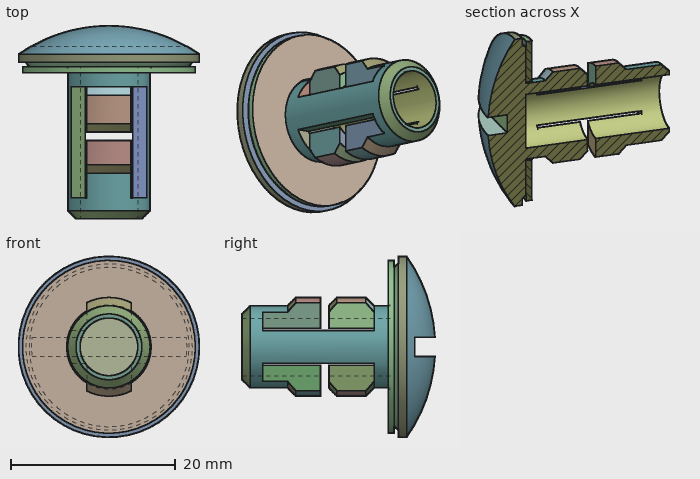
import cadquery as cq
import math


head_radius = 11.0
rim_thickness = 1.0
dome_height = 3.5
shoulder_height = 0.5
shoulder_root_radius = 10.1
shoulder_tip_radius = 9.7
shoulder_bulge = 0.03

driver_slot_width = 2.3
driver_slot_depth = 2.5

washer_radius = 10.5
washer_thickness = 0.75
washer_hole_radius = 5.13

tube_radius = 5.0
bore_radius = 3.5
tube_length = 17.75
end_chamfer = 1.0

window_offset = 1.7
window_length = 13.5
beam_half_height = 2.0

tab_width = 5.4
tab_radius = 6.0
tab_chamfer = 1.0
head_tab_length = 5.5
tab_gap = 1.0
end_tab_length = 4.0

dome_base_y = rim_thickness
dome_top_y = dome_base_y + dome_height
washer_top_y = -shoulder_height
washer_bottom_y = washer_top_y - washer_thickness
tube_end_y = washer_bottom_y - tube_length
window_top_y = washer_bottom_y - window_offset
window_bottom_y = window_top_y - window_length
head_tab_end_y = window_top_y - head_tab_length
end_tab_start_y = head_tab_end_y - tab_gap
end_tab_shoulder_y = end_tab_start_y - end_tab_length


def revolve_about_y(profile):
    """Turn a closed (radius, Y) profile around the Y axis."""
    return profile.close().revolve(360, (0, 0, 0), (0, 1, 0))


def box_between(width, y_low, y_high, height):
    """Box centred on X and Z, reaching from y_low to y_high."""
    return cq.Workplane("XY").box(width, y_high - y_low, height).translate((0, (y_low + y_high) / 2, 0))


def make_head():
    dome_sphere_radius = (head_radius**2 + dome_height**2) / (2 * dome_height)
    dome_mid_radius = head_radius / 2
    dome_centre_y = dome_top_y - dome_sphere_radius
    dome_mid_y = dome_centre_y + math.sqrt(dome_sphere_radius**2 - dome_mid_radius**2)
    shoulder_mid_radius = (shoulder_root_radius + shoulder_tip_radius) / 2 + shoulder_bulge
    profile = (
        cq.Workplane("XY")
        .moveTo(0, dome_top_y)
        .threePointArc((dome_mid_radius, dome_mid_y), (head_radius, dome_base_y))
        .lineTo(head_radius, 0)
        .lineTo(shoulder_root_radius, 0)
        .threePointArc((shoulder_mid_radius, washer_top_y / 2), (shoulder_tip_radius, washer_top_y))
        .lineTo(0, washer_top_y)
    )
    slot = box_between(2 * head_radius, dome_top_y - driver_slot_depth, dome_top_y, driver_slot_width)
    return revolve_about_y(profile).cut(slot)


def make_tube():
    tube = revolve_about_y(
        cq.Workplane("XY")
        .moveTo(bore_radius, washer_top_y)
        .lineTo(tube_radius, washer_top_y)
        .lineTo(tube_radius, tube_end_y + end_chamfer)
        .lineTo(tube_radius - end_chamfer, tube_end_y)
        .lineTo(bore_radius, tube_end_y)
    )
    window = box_between(2 * tube_radius, window_bottom_y, window_top_y, 2 * tube_radius)
    beams = box_between(2 * tube_radius, window_bottom_y, window_top_y, 2 * beam_half_height)
    return tube.cut(window.cut(beams))


def trim_to_tabs(ring):
    """Keep only the strips of a ring that lie in the windows on the +Z and -Z sides."""
    strip = box_between(tab_width, window_bottom_y, window_top_y, 2 * tab_radius)
    return ring.intersect(strip)


def make_head_tabs():
    ring = revolve_about_y(
        cq.Workplane("XY")
        .moveTo(bore_radius, window_top_y)
        .lineTo(tab_radius - tab_chamfer, window_top_y)
        .lineTo(tab_radius, window_top_y - tab_chamfer)
        .lineTo(tab_radius, head_tab_end_y + tab_chamfer)
        .lineTo(tab_radius - tab_chamfer, head_tab_end_y)
        .lineTo(bore_radius, head_tab_end_y)
    )
    return trim_to_tabs(ring)


def make_end_tabs():
    ring = revolve_about_y(
        cq.Workplane("XY")
        .moveTo(bore_radius, end_tab_start_y)
        .lineTo(tab_radius, end_tab_start_y)
        .lineTo(tab_radius, end_tab_shoulder_y + tab_chamfer)
        .lineTo(tube_radius, end_tab_shoulder_y)
        .lineTo(tube_radius, window_bottom_y)
        .lineTo(bore_radius, window_bottom_y)
    )
    return trim_to_tabs(ring)


def make_fastener():
    return make_head().union(make_tube()).union(make_head_tabs()).union(make_end_tabs())


def make_washer():
    return revolve_about_y(
        cq.Workplane("XY")
        .moveTo(washer_hole_radius, washer_top_y)
        .lineTo(washer_radius, washer_top_y)
        .lineTo(washer_radius, washer_bottom_y)
        .lineTo(washer_hole_radius, washer_bottom_y)
    )


fastener = make_fastener()
washer = make_washer()

result = cq.Compound.makeCompound([fastener.val(), washer.val()])